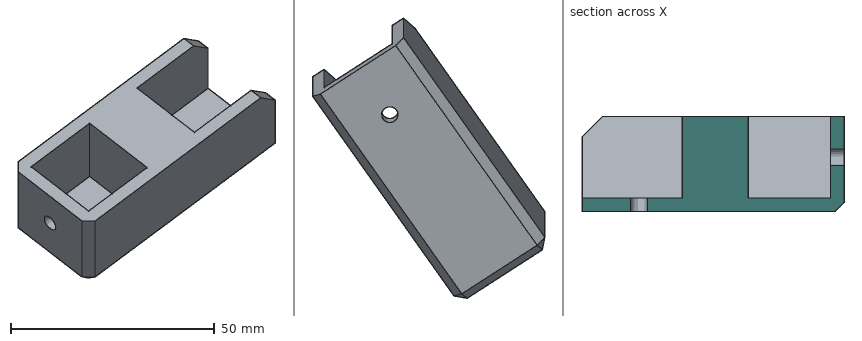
import cadquery as cq

width = 27.0
length = 64.5
height = 23.5
edge_chamfer = 2.3
rear_chamfer = 5.0

wall = 3.4
floor = wall
cavity_width = width - 2 * wall
cavity_depth = height - floor
slot_length = 24.6

hole_diameter = 4.0
rear_hole_inset = 14.0
front_hole_height = 13.4


def make_body():
    """Block centred in X, front face at Y = 0, underside at Z = 0."""
    body = cq.Workplane("XY").box(width, length, height, centered=(True, False, False))
    front_uprights = body.edges("|Z and <Y")
    bottom_sides = body.edges("|Y and <Z")
    bottom_front = body.edges("|X and <Z and <Y")
    lower_edges = front_uprights.add(bottom_sides).add(bottom_front)
    body = lower_edges.chamfer(edge_chamfer)
    return body.faces(">Y").edges(">Z").chamfer(rear_chamfer)


def make_cavity(start_y, cavity_length):
    """Rectangular cavity open at the top."""
    return (
        cq.Workplane("XY", origin=(0, start_y, floor))
        .box(cavity_width, cavity_length, cavity_depth, centered=(True, False, False))
    )


pocket = make_cavity(wall, cavity_width)
slot = make_cavity(length - slot_length, slot_length)

rear_hole = (
    cq.Workplane("XY", origin=(0, length - rear_hole_inset, 0))
    .circle(hole_diameter / 2)
    .extrude(floor)
)

front_hole = (
    cq.Workplane("XZ", origin=(0, 0, front_hole_height))
    .circle(hole_diameter / 2)
    .extrude(-wall)
)

result = make_body().cut(pocket).cut(slot).cut(rear_hole).cut(front_hole)